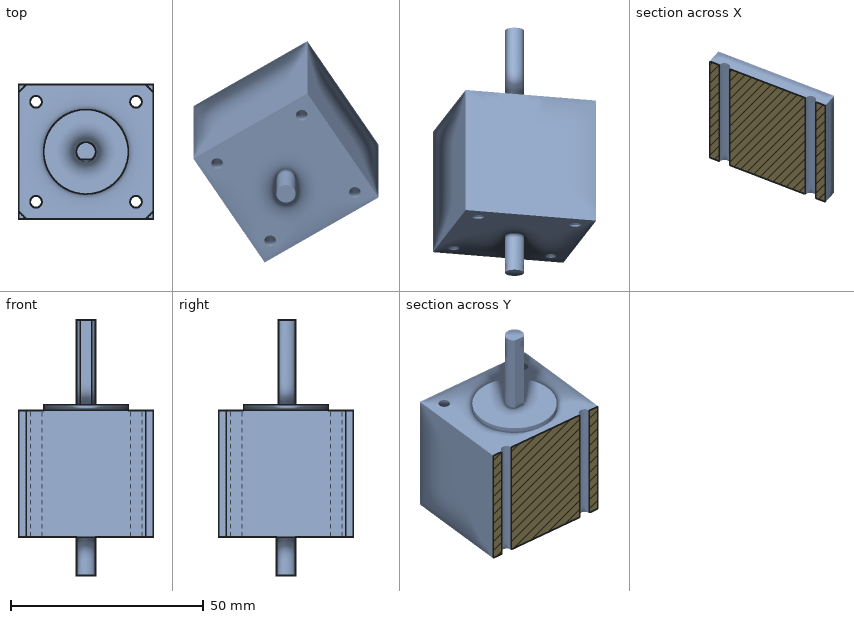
import cadquery as cq

housing_width = 35.0
housing_height = 33.0
corner_leg = 2.0

pilot_diameter = 22.0
pilot_height = 1.5

shaft_diameter = 5.0
front_shaft_length = 22.0
flat_distance = 2.0
rear_shaft_length = 10.0

hole_diameter = 3.0
hole_spacing = 26.0

half_width = housing_width / 2
pilot_top = housing_height + pilot_height
corner_signs = [(1, 1), (-1, 1), (-1, -1), (1, -1)]


def make_front_shaft():
    """Output shaft standing on the pilot boss, cut flat on its -Y side."""
    shaft = (
        cq.Workplane("XY", origin=(0, 0, pilot_top))
        .circle(shaft_diameter / 2)
        .extrude(front_shaft_length)
    )
    flat_cutter = (
        cq.Workplane("XY", origin=(0, -flat_distance - shaft_diameter / 2, pilot_top))
        .rect(2 * shaft_diameter, shaft_diameter)
        .extrude(front_shaft_length)
    )
    return shaft.cut(flat_cutter)


def make_motor():
    """Bevelled housing with mounting holes, pilot boss and both shaft ends."""
    block = (
        cq.Workplane("XY")
        .rect(housing_width, housing_width)
        .extrude(housing_height)
        .edges("|Z")
        .chamfer(corner_leg)
    )
    mounting_holes = (
        cq.Workplane("XY")
        .rect(hole_spacing, hole_spacing, forConstruction=True)
        .vertices()
        .circle(hole_diameter / 2)
        .extrude(housing_height)
    )
    pilot = (
        cq.Workplane("XY", origin=(0, 0, housing_height))
        .circle(pilot_diameter / 2)
        .extrude(pilot_height)
    )
    rear_shaft = cq.Workplane("XY").circle(shaft_diameter / 2).extrude(-rear_shaft_length)
    return block.cut(mounting_holes).union(pilot).union(make_front_shaft()).union(rear_shaft)


def make_corner_strip(x_sign, y_sign):
    """Triangular strip that fills one bevelled corner of the housing."""
    x_corner = x_sign * half_width
    y_corner = y_sign * half_width
    return (
        cq.Workplane("XY")
        .moveTo(x_corner, y_corner)
        .lineTo(x_corner - x_sign * corner_leg, y_corner)
        .lineTo(x_corner, y_corner - y_sign * corner_leg)
        .close()
        .extrude(housing_height)
    )


motor = make_motor()
corner_strips = [make_corner_strip(x_sign, y_sign) for x_sign, y_sign in corner_signs]

result = cq.Compound.makeCompound([motor.val(), *[strip.val() for strip in corner_strips]])